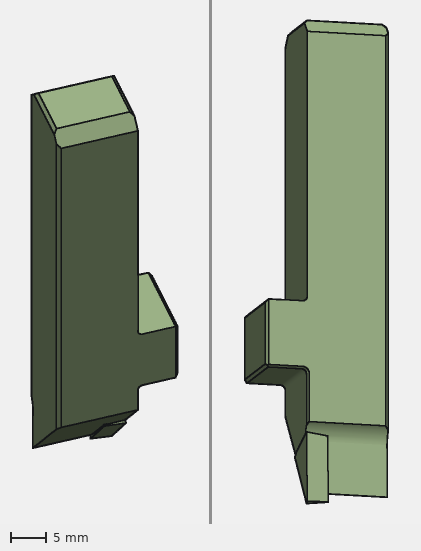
import cadquery as cq
import math

length = 70.0
width = 12.0
depth = 12.0
end_chamfer = 2.0
edge_chamfer = 0.525

tip_x = 1.0
tip_z = 1.7
slope_top_z = 14.9
relief_top_z = 11.75
relief_bottom_z = 9.25
relief_radius = 3.4

tab_back_y = 18.0
tab_bottom_z = 19.4
tab_top_z = 29.1
tab_chamfer = 0.4
root_radius = 0.7
bevel_width = 0.3
bevel_height = 0.4

insert_thickness = 3.15
insert_taper = 5.0
insert_outline = [
    (0.4, 0.0),
    (6.7, 7.9),
    (6.4, 8.4),
    (0.4, 10.35),
    (0.0, 0.3),
]


def make_shank():
    """Pointed bar with a hollow relief on its -X flank."""
    half_chord_angle = math.asin((relief_top_z - relief_bottom_z) / relief_radius) / 2
    relief_depth = relief_radius * (1 - math.cos(2 * half_chord_angle))
    arc_middle = (
        relief_depth - relief_radius * (1 - math.cos(half_chord_angle)),
        relief_bottom_z + relief_radius * math.sin(half_chord_angle),
    )
    bar = (
        cq.Workplane("XZ")
        .moveTo(tip_x, tip_z)
        .lineTo(width, slope_top_z)
        .lineTo(width, length)
        .lineTo(0, length)
        .lineTo(0, relief_top_z)
        .threePointArc(arc_middle, (relief_depth, relief_bottom_z))
        .close()
        .extrude(-depth)
    )
    bar = bar.faces(">Z").edges("|Y").chamfer(end_chamfer)
    bar = bar.faces(">Z").edges("|X").chamfer(edge_chamfer)
    return bar.faces("<Y").edges("|Z").chamfer(edge_chamfer)


def add_tab(shank):
    """Full-width tab with bevelled outer edges and rounded roots."""
    half_depth = depth / 2
    tab = cq.Workplane("XY").box(
        width, tab_back_y - half_depth, tab_top_z - tab_bottom_z, centered=False
    ).translate((0, half_depth, tab_bottom_z))
    tab = tab.faces(">Y").edges().chamfer(tab_chamfer)
    body = shank.union(tab)
    reach = root_radius
    for root_z in (tab_bottom_z, tab_top_z):
        root = cq.selectors.BoxSelector(
            (-reach, depth - reach, root_z - reach),
            (width + reach, depth + reach, root_z + reach),
        )
        body = body.edges("|X").edges(root).fillet(root_radius)
    return body


def bevel_below_tab(body):
    """Bevel the -X edge along the tab underside, its root and the shank back below it."""
    underside_edge = cq.selectors.BoxSelector(
        (-bevel_width, depth, tab_bottom_z - bevel_width),
        (bevel_width, tab_back_y, tab_bottom_z + bevel_width),
    )
    return body.edges("|Y").edges(underside_edge).chamfer(bevel_height, bevel_width)


def make_insert():
    """Pointed plate, flush with the back of the shank and narrowing toward -Y."""
    return (
        cq.Workplane("XZ", origin=(0, depth, 0))
        .polyline(insert_outline)
        .close()
        .extrude(insert_thickness, taper=insert_taper)
    )


insert = make_insert()
holder = bevel_below_tab(add_tab(make_shank())).cut(insert)

result = cq.Compound.makeCompound([holder.val(), insert.val()])